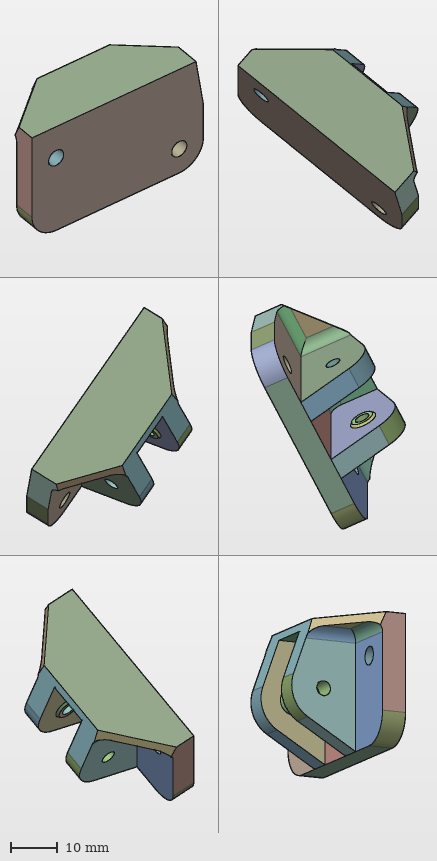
import cadquery as cq
import math

width = 45.8
height = 28.15
plate_thickness = 5.5
corner_radius = 6.55
side_slope_start = 15.7
side_slope_inset = 1.95

cheek_outer_y = 9.9
cheek_inner_y = 4.95
pivot_x = -13.1
pivot_z = 13.15
pivot_radius = 7.6
pivot_hole_diameter = 3.2
face_angle = 20.0
boss_height = 0.55
boss_base_diameter = 5.95
boss_tip_diameter = 5.05

roof_underside = 26.15
roof_fillet = 2.47
roof_front_half_width = 9.65
roof_side_run = 1.19

screw_hole_diameter = 4.05
screw_y = 16.45
screw_low_z = 6.55
screw_high_z = 19.7

overshoot = 9.15

roof_bottom = roof_underside - roof_fillet
lean = math.radians(face_angle)
depth = pivot_radius - pivot_x
front_tangent_x = pivot_x - pivot_radius * math.cos(lean)
front_tangent_z = pivot_z + pivot_radius * math.sin(lean)
top_front_x = front_tangent_x + (height - front_tangent_z) * math.tan(lean)


def box(x_range, y_range, z_range):
    """Box spanning the given coordinate ranges."""
    size = [high - low for low, high in (x_range, y_range, z_range)]
    start = (x_range[0], y_range[0], z_range[0])
    return cq.Workplane("XY").box(*size, centered=False).translate(start)


def outline(thickness):
    """Plate outline in Y and Z, extruded from the back face towards -X."""
    half = width / 2
    return (
        cq.Workplane("YZ")
        .moveTo(-half, 0)
        .lineTo(half, 0)
        .lineTo(half, side_slope_start)
        .lineTo(half - side_slope_inset, height)
        .lineTo(-half, height)
        .close()
        .extrude(-thickness)
        .edges("|X and <Z")
        .fillet(corner_radius)
    )


def cheek_block():
    """Rounded hinge profile spanning both cheeks, up to the bottom of the roof."""
    root_x = -plate_thickness
    reach = math.hypot(pivot_x - root_x, pivot_z)
    to_root = math.atan2(-pivot_z, root_x - pivot_x)
    low_angle = to_root - math.acos(pivot_radius / reach)
    low_x = pivot_x + pivot_radius * math.cos(low_angle)
    low_z = pivot_z + pivot_radius * math.sin(low_angle)
    front_x = top_front_x - (height - roof_bottom) * math.tan(lean)
    return (
        cq.Workplane("XZ")
        .moveTo(0, 0)
        .lineTo(root_x, 0)
        .lineTo(low_x, low_z)
        .threePointArc((pivot_x - pivot_radius, pivot_z), (front_tangent_x, front_tangent_z))
        .lineTo(front_x, roof_bottom)
        .lineTo(0, roof_bottom)
        .close()
        .extrude(cheek_outer_y, both=True)
    )


def roof_section(z):
    """Trapezoid wire at height z; all three sloped faces step out equally below the top."""
    step_out = (height - z) * math.tan(lean)
    front_x = top_front_x - step_out
    back_x = overshoot

    def half_width(x):
        return (
            roof_front_half_width
            + roof_side_run * (x - top_front_x)
            + step_out * math.hypot(1, roof_side_run)
        )

    corners = [
        (front_x, -half_width(front_x)),
        (back_x, -half_width(back_x)),
        (back_x, half_width(back_x)),
        (front_x, half_width(front_x)),
    ]
    return cq.Wire.makePolygon([cq.Vector(x, y, z) for x, y in corners], close=True)


def roof():
    """Trapezoid whose front and sides flare outwards going down from the top."""
    flared = cq.Solid.makeLoft([roof_section(roof_bottom), roof_section(height)], True)
    return cq.Workplane(flared).intersect(outline(depth))


def side_pocket():
    """Space outside the +Y cheek, rounded where the roof meets plate and cheek."""
    x_range = (-depth - overshoot, -plate_thickness)
    y_range = (cheek_outer_y, width / 2 + overshoot)
    pocket = box(x_range, y_range, (-overshoot, roof_underside))
    return pocket.faces(">Z").edges(">X or <Y").fillet(roof_fillet)


def centre_slot():
    """Gap between the cheeks, rounded where the roof meets the plate."""
    x_range = (-depth - overshoot, -plate_thickness)
    slot = box(x_range, (-cheek_inner_y, cheek_inner_y), (-overshoot, roof_underside))
    return slot.faces(">Z").edges(">X").fillet(roof_fillet)


def boss():
    """Conical spacer on the inner face of the +Y cheek."""
    return (
        cq.Workplane("XZ", origin=(pivot_x, cheek_inner_y, pivot_z))
        .circle(boss_base_diameter / 2)
        .workplane(offset=boss_height)
        .circle(boss_tip_diameter / 2)
        .loft()
    )


def screw_hole(y, z):
    """Hole through the plate along X."""
    return (
        cq.Workplane("YZ")
        .center(y, z)
        .circle(screw_hole_diameter / 2)
        .extrude(-plate_thickness)
    )


pivot_hole = (
    cq.Workplane("XZ")
    .center(pivot_x, pivot_z)
    .circle(pivot_hole_diameter / 2)
    .extrude(width / 2, both=True)
)

plate = outline(plate_thickness)
plate_below_roof = plate.intersect(box((-depth, 0), (-width / 2, width / 2), (0, roof_underside)))

bracket = cheek_block().union(roof()).union(plate_below_roof)
bracket = bracket.cut(side_pocket()).cut(side_pocket().mirror("XZ")).cut(centre_slot())
bracket = bracket.union(boss()).union(boss().mirror("XZ"))
bracket = bracket.cut(pivot_hole)
bracket = bracket.cut(screw_hole(screw_y, screw_low_z)).cut(screw_hole(-screw_y, screw_high_z))

result = bracket